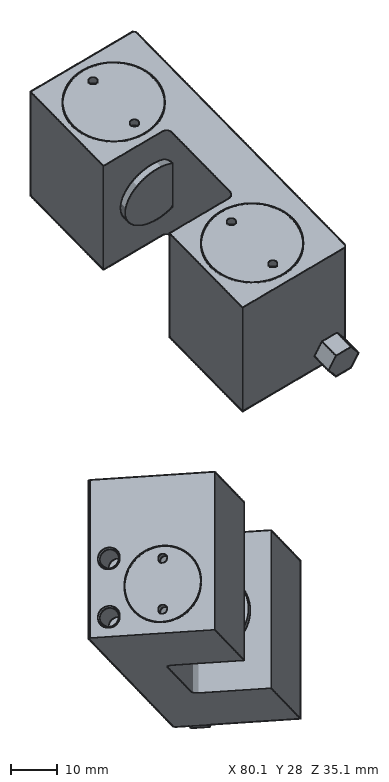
import cadquery as cq
import math

total_length = 80.1
block_length = 75.1
block_depth = 28.0
block_height = 35.1
leg_width = 25.9
notch_depth = 17.3
notch_fillet = 1.45
back_chamfer = 0.5

pad_diameter = 17.0
pad_center_y = 13.05
pad_height = 1.7

groove_depth = 0.4
wrench_hole_diameter = 2.0
wrench_hole_depth = 2.0
drill_point_angle = 118.0
top_cover_inner = 21.8
top_cover_outer = 22.0
top_cover_inset = 13.05
top_cover_y = 12.5
top_wrench_spacing = 14.65
side_cover_inner = 16.8
side_cover_outer = 17.0
side_cover_y = 11.5
side_cover_z = 11.0
side_wrench_spacing = 11.3

port_diameter = 4.2
port_mouth_diameter = 4.9
port_depth = 8.0
port_y = 23.4
lower_port_z = 4.4
port_spacing = 13.0

plug_across_flats = 7.05
plug_length = total_length - block_length

UP = cq.Vector(0, 0, 1)
RIGHT = cq.Vector(1, 0, 0)
LEFT = cq.Vector(-1, 0, 0)
DOWN = cq.Vector(0, 0, -1)


def make_block():
    """U-shaped block with rounded inner notch corners and chamfered back corners."""
    block = cq.Workplane("XY").box(block_length, block_depth, block_height, centered=False)
    block = block.edges("|Z and >Y").chamfer(back_chamfer)
    notch = (
        cq.Workplane("XY")
        .box(block_length - 2 * leg_width, notch_depth, block_height, centered=False)
        .edges("|Z and >Y")
        .fillet(notch_fillet)
        .translate((leg_width, 0, 0))
    )
    return block.cut(notch)


def make_pad(face_x, direction):
    """Round pad that stands on an inner leg face."""
    center = cq.Vector(face_x, pad_center_y, block_height / 2)
    return cq.Solid.makeCylinder(pad_diameter / 2, pad_height, center, direction)


def ring_groove(center, inward, inner_diameter, outer_diameter):
    """Thin ring to cut around a cover."""
    outer = cq.Solid.makeCylinder(outer_diameter / 2, groove_depth, center, inward)
    inner = cq.Solid.makeCylinder(inner_diameter / 2, groove_depth, center, inward)
    return outer.cut(inner)


def wrench_hole(center, inward):
    """Blind drilled hole with a conical bottom."""
    radius = wrench_hole_diameter / 2
    point_length = radius / math.tan(math.radians(drill_point_angle / 2))
    shaft = cq.Solid.makeCylinder(radius, wrench_hole_depth, center, inward)
    point = cq.Solid.makeCone(radius, 0, point_length, center + inward * wrench_hole_depth, inward)
    return shaft.fuse(point)


def cut_cover(body, center, inward, inner_diameter, outer_diameter, hole_axis, hole_spacing):
    """Cut the ring groove and the pair of wrench holes of one cover."""
    body = body.cut(cq.Workplane(ring_groove(center, inward, inner_diameter, outer_diameter)))
    for side in (-1, 1):
        hole_center = center + hole_axis * (side * hole_spacing / 2)
        body = body.cut(cq.Workplane(wrench_hole(hole_center, inward)))
    return body


def port(center_z):
    """Blind flat-bottomed port with a chamfered mouth."""
    center = cq.Vector(0, port_y, center_z)
    mouth_depth = (port_mouth_diameter - port_diameter) / 2
    bore = cq.Solid.makeCylinder(port_diameter / 2, port_depth, center, RIGHT)
    mouth = cq.Solid.makeCone(port_mouth_diameter / 2, port_diameter / 2, mouth_depth, center, RIGHT)
    return bore.fuse(mouth)


def make_housing():
    body = make_block()
    body = body.union(cq.Workplane(make_pad(leg_width, RIGHT)))
    body = body.union(cq.Workplane(make_pad(block_length - leg_width, LEFT)))
    for cover_x in (top_cover_inset, block_length - top_cover_inset):
        center = cq.Vector(cover_x, top_cover_y, block_height)
        body = cut_cover(body, center, DOWN, top_cover_inner, top_cover_outer, RIGHT, top_wrench_spacing)
    center = cq.Vector(0, side_cover_y, side_cover_z)
    body = cut_cover(body, center, RIGHT, side_cover_inner, side_cover_outer, UP, side_wrench_spacing)
    for port_z in (lower_port_z, lower_port_z + port_spacing):
        body = body.cut(cq.Workplane(port(port_z)))
    return body


def make_plug():
    """Hexagonal prism with flats on top and bottom."""
    across_corners = plug_across_flats / math.cos(math.pi / 6)
    return (
        cq.Workplane("YZ", origin=(block_length, port_y, lower_port_z))
        .polygon(6, across_corners)
        .extrude(plug_length)
    )


housing = make_housing()
plug = make_plug()
result = cq.Compound.makeCompound([housing.val(), plug.val()])